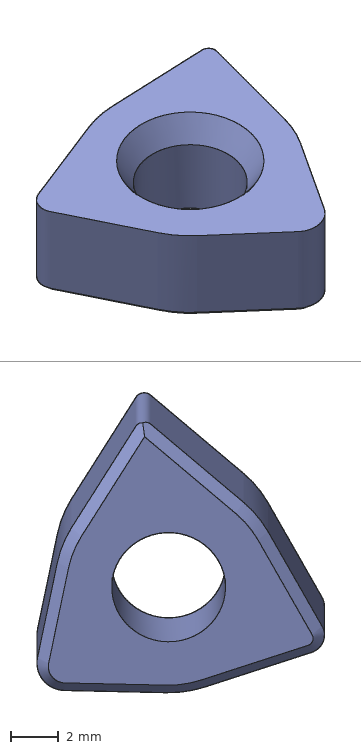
import cadquery as cq
import math

inscribed_radius = 4.76
thickness = 4.76
tip_angle = 80.0
tip_spacing = 120.0
right_tip = 340.0
upper_tip = right_tip - 2 * tip_spacing
left_tip = right_tip - tip_spacing
right_tip_radius = 1.19
upper_tip_radius = 0.4
left_tip_radius = 0.8
bore_radius = 2.39
mouth_radius = 3.09
mouth_depth = 1.2
chamfer_size = 0.48

flank_offset = (180.0 - tip_angle) / 2


def polar(radius, angle, origin=(0.0, 0.0)):
    """Point at a radius and an angle in degrees around an origin."""
    turn = math.radians(angle)
    return (origin[0] + radius * math.cos(turn), origin[1] + radius * math.sin(turn))


def trigon(upper_radius):
    """Prism with three tips joined by arcs of the inscribed circle; radius 0 leaves a sharp tip."""
    tips = [
        (upper_tip, upper_radius),
        (left_tip, left_tip_radius),
        (right_tip, right_tip_radius),
    ]
    start = polar(inscribed_radius, upper_tip - flank_offset)
    profile = cq.Workplane("XY").moveTo(*start)
    for direction, radius in tips:
        first_normal = direction - flank_offset
        last_normal = direction + flank_offset
        center_distance = (inscribed_radius - radius) / math.cos(math.radians(flank_offset))
        center = polar(center_distance, direction)
        profile = profile.lineTo(*polar(radius, first_normal, center))
        if radius > 0:
            profile = profile.threePointArc(
                polar(radius, direction, center),
                polar(radius, last_normal, center),
            )
        profile = profile.lineTo(*polar(inscribed_radius, last_normal))
        profile = profile.threePointArc(
            polar(inscribed_radius, direction + tip_spacing / 2),
            polar(inscribed_radius, first_normal + tip_spacing),
        )
    return profile.close().extrude(thickness)


chamfered = trigon(0).faces("<Z").chamfer(chamfer_size)
body = chamfered.intersect(trigon(upper_tip_radius))

bore = cq.Workplane("XY").circle(bore_radius).extrude(thickness)
mouth = cq.Workplane(
    cq.Solid.makeCone(
        bore_radius,
        mouth_radius,
        mouth_depth,
        pnt=cq.Vector(0, 0, thickness - mouth_depth),
    )
)

result = body.cut(bore).cut(mouth)